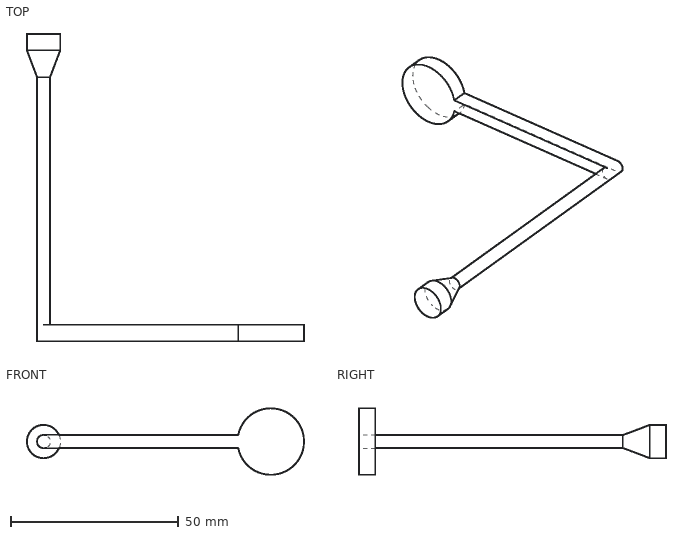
import cadquery as cq

total_length = 92.0
rod_diameter = 4.0
head_diameter = 10.0
head_length = 5.0
cone_length = 8.0
disc_diameter = 20.0
disc_thickness = 5.0
disc_offset = 68.0

rod_radius = rod_diameter / 2
head_radius = head_diameter / 2
head_start = total_length - head_length
cone_start = head_start - cone_length
arm_height = rod_diameter


def make_rod():
    """Round rod along Y, flaring through a cone into a cylindrical head."""
    half_profile = (
        cq.Workplane("XY")
        .lineTo(rod_radius, 0)
        .lineTo(rod_radius, cone_start)
        .lineTo(head_radius, head_start)
        .lineTo(head_radius, total_length)
        .lineTo(0, total_length)
        .close()
    )
    return half_profile.revolve(360, (0, 0), (0, 1))


def make_arm():
    """Rectangular arm along X, from the rod axis to the disc axis."""
    return cq.Workplane("XY").box(
        disc_offset, disc_thickness, arm_height, centered=(False, False, True)
    )


def make_disc():
    """Flat disc at the end of the arm, with its axis along Y."""
    return (
        cq.Workplane("XZ")
        .center(disc_offset, 0)
        .circle(disc_diameter / 2)
        .extrude(-disc_thickness)
    )


result = make_rod().union(make_arm()).union(make_disc())